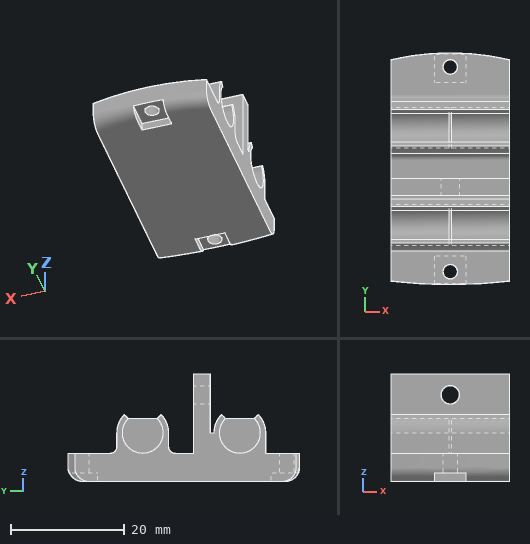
import cadquery as cq
import math

width = 21.0
length = 40.95
base_height = 5.0
back_bulge = 1.23
front_bulge = 0.6
end_round = 2.5
embed_height = base_height / 2

screw_diameter = 2.5
screw_positions = (-18.18, 17.97)
nut_width = 5.5
nut_depth = 1.5

total_height = 19.0
fin_thickness = 3.0
fin_back = -1.7
fin_front = fin_back - fin_thickness
fin_hole_diameter = 3.2
fin_hole_height = 15.3

bore_radius = 3.6
clip_wall = 1.0
clip_outer_radius = bore_radius + clip_wall
clip_height = base_height + bore_radius
back_clip_y = 7.25
front_clip_y = -9.9
opening_half_angle = math.radians(45)
web_thickness = 0.35
web_top = clip_height + bore_radius * math.cos(opening_half_angle)
root_fillet = 1.2


def block(x_size, y_min, y_max, z_min, z_max):
    """Box centred on X between the given Y and Z limits."""
    start = cq.Workplane("XY", origin=(0, y_min, z_min))
    return start.box(x_size, y_max - y_min, z_max - z_min, centered=(True, False, False))


def rod(radius, y, x_size):
    """Cylinder along X at clip height, centred on X."""
    return cq.Workplane("YZ").center(y, clip_height).circle(radius).extrude(x_size / 2, both=True)


def make_base():
    half_width = width / 2
    half_length = length / 2
    back_corner = half_length - back_bulge
    front_corner = -half_length + front_bulge
    plate = (
        cq.Workplane("XY")
        .moveTo(-half_width, front_corner)
        .threePointArc((0, -half_length), (half_width, front_corner))
        .lineTo(half_width, back_corner)
        .threePointArc((0, half_length), (-half_width, back_corner))
        .close()
        .extrude(base_height)
    )
    return plate.faces("<Z").edges("%CIRCLE").fillet(end_round)


def make_clip_body(y):
    """Solid clip with a straight-sided foot and a V-shaped opening at the top."""
    foot = block(width, y - clip_outer_radius, y + clip_outer_radius, embed_height, clip_height)
    reach = 2 * clip_outer_radius
    spread = reach * math.tan(opening_half_angle)
    opening = (
        cq.Workplane("YZ")
        .polyline([(y, clip_height), (y + spread, clip_height + reach), (y - spread, clip_height + reach)])
        .close()
        .extrude(width / 2, both=True)
    )
    return foot.union(rod(clip_outer_radius, y, width).cut(opening))


def make_web(y):
    """Thin wall across the middle of a bore, level with the lips of the bore."""
    trim = block(web_thickness, y - bore_radius, y + bore_radius, base_height, web_top)
    return rod(bore_radius, y, web_thickness).intersect(trim)


def make_root_fillet(y, side):
    """Concave fillet between the base top and one side of a clip foot."""
    wall = y + side * clip_outer_radius
    toe = wall + side * root_fillet
    mid = root_fillet * (1 - math.sqrt(0.5))
    return (
        cq.Workplane("YZ")
        .moveTo(wall, base_height)
        .lineTo(toe, base_height)
        .threePointArc((wall + side * mid, base_height + mid), (wall, base_height + root_fillet))
        .close()
        .extrude(width / 2, both=True)
    )


result = make_base()

result = result.union(block(width, fin_front, fin_back, embed_height, total_height))
result = result.union(block(width, front_clip_y, fin_front, embed_height, clip_height))

for clip_y in (back_clip_y, front_clip_y):
    result = result.union(make_clip_body(clip_y))
for fillet_side in (-1, 1):
    result = result.union(make_root_fillet(back_clip_y, fillet_side))
for clip_y in (back_clip_y, front_clip_y):
    result = result.cut(rod(bore_radius, clip_y, width))
    result = result.union(make_web(clip_y))

for screw_y in screw_positions:
    hole = cq.Workplane("XY").center(0, screw_y).circle(screw_diameter / 2).extrude(base_height)
    pocket = block(nut_width, screw_y - nut_width / 2, screw_y + nut_width / 2, 0, nut_depth)
    result = result.cut(hole).cut(pocket)

fin_hole = (
    cq.Workplane("XZ", origin=(0, fin_back, fin_hole_height))
    .circle(fin_hole_diameter / 2)
    .extrude(fin_thickness)
)
result = result.cut(fin_hole)